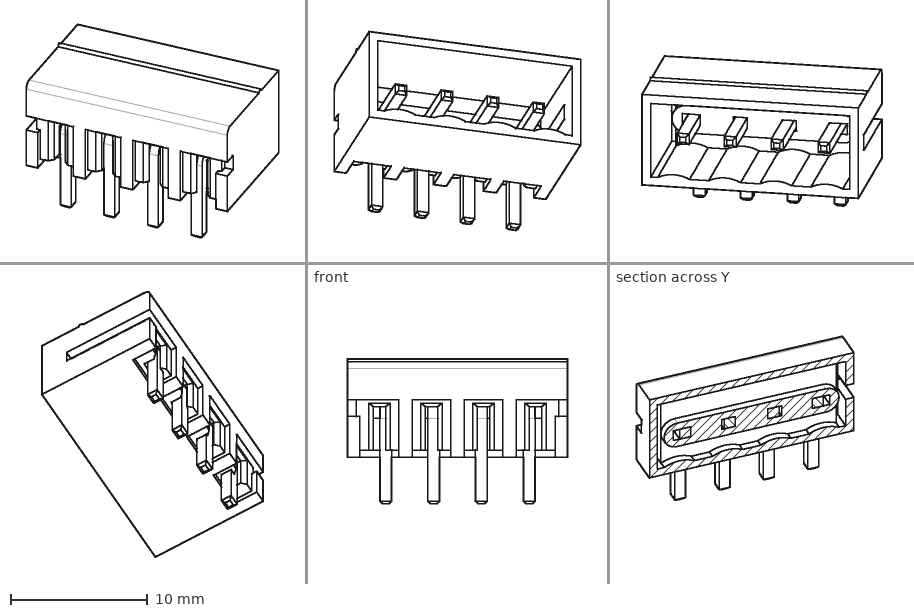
import cadquery as cq
import math


LENGTH = 16.11
DEPTH = 9.2
HEIGHT = 7.0
FRONT_EDGE_RADIUS = 0.5
RIDGE_RADIUS = 0.2
RIDGE_Y = 5.88

WALL = 0.66
CAVITY_FRONT_Y = 1.98
CORNER_FRONT_Y = 1.01
CORNER_WIDTH = 0.48
CROWN_RADIUS = 2.58
CROWN_HEIGHT = 0.29

TONGUE_RADIUS = 1.06
TONGUE_LENGTH = 1.51

POSITIONS = 4
WINDOW_PITCH = 3.8
RECESS_WIDTH = 2.82
RECESS_DEPTH = 0.43
UNDERCUT_HEIGHT = 0.53
WINDOW_WIDTH = 0.89
WINDOW_TOP = 3.7
FUNNEL_DEPTH = 0.34
FUNNEL_TOP_RISE = 0.27
LEG_WIDTH = 0.92

SLOT_BOTTOM = 3.01
SLOT_TOP = 4.2
SLOT_BACK_Y = 7.09

PIN_PITCH = 3.5
PIN_WIDTH = 0.87
PIN_THICKNESS = 0.82
PIN_FRONT_Y = 0.79
PIN_TAIL = 3.4
PIN_BACK_Y = 8.05
PIN_TOP = 3.7
TIP_CHAMFER = 0.21

HALF = LENGTH / 2
PIN_REAR_Y = PIN_FRONT_Y + PIN_THICKNESS
PIN_UNDERSIDE = PIN_TOP - PIN_THICKNESS
PIN_AXIS_Z = PIN_TOP - PIN_THICKNESS / 2
TONGUE_WIDTH = LENGTH - 2 * (WALL + CORNER_WIDTH)
TONGUE_BACK_Y = CAVITY_FRONT_Y + TONGUE_LENGTH


def row(pitch):
    """X places of the four positions, centred on X = 0."""
    return [(i - (POSITIONS - 1) / 2) * pitch for i in range(POSITIONS)]


def block(x0, x1, y0, y1, z0, z1):
    """Box between two opposite corners."""
    return cq.Workplane("XY").box(x1 - x0, y1 - y0, z1 - z0, centered=False).translate((x0, y0, z0))


def make_shell():
    """Outer block with a rounded top front edge and a half-round ridge along the top."""
    body = block(-HALF, HALF, 0, DEPTH, 0, HEIGHT)
    body = body.edges("|X and >Z and <Y").fillet(FRONT_EDGE_RADIUS)
    ridge = (
        cq.Workplane("YZ", origin=(-HALF, RIDGE_Y, HEIGHT))
        .circle(RIDGE_RADIUS)
        .extrude(LENGTH)
    )
    return body.union(ridge)


def make_cavity():
    """Space for the plug: deeper at its two front corners, with a low crown on the floor at each window."""
    side = HALF - WALL
    cavity = block(-side, side, CAVITY_FRONT_Y, DEPTH, WALL, HEIGHT - WALL)
    corner = block(-side, CORNER_WIDTH - side, CORNER_FRONT_Y, CAVITY_FRONT_Y, WALL, HEIGHT - WALL)
    cavity = cavity.union(corner).union(corner.mirror("YZ"))
    crown_half_width = math.sqrt(CROWN_RADIUS**2 - (CROWN_RADIUS - CROWN_HEIGHT) ** 2)
    for x in row(WINDOW_PITCH):
        crown = (
            cq.Workplane("XZ", origin=(x, DEPTH, WALL))
            .moveTo(-crown_half_width, 0)
            .threePointArc((0, CROWN_HEIGHT), (crown_half_width, 0))
            .close()
            .extrude(DEPTH - CAVITY_FRONT_Y)
        )
        cavity = cavity.cut(crown)
    return cavity


def make_tongue():
    """Round-ended bar across the cavity front that carries all the pins."""
    return (
        cq.Workplane("XZ", origin=(0, TONGUE_BACK_Y, PIN_AXIS_Z))
        .slot2D(TONGUE_WIDTH, 2 * TONGUE_RADIUS)
        .extrude(TONGUE_LENGTH)
    )


def make_recess(x0, x1):
    """Shallow front recess with a deeper undercut along its foot."""
    recess = block(x0, x1, 0, RECESS_DEPTH, 0, SLOT_TOP)
    return recess.union(block(x0, x1, 0, CAVITY_FRONT_Y, 0, UNDERCUT_HEIGHT))


def make_window(x):
    """Window with a funnel mouth: it takes the upright pin leg and opens into the cavity above the leg."""
    half = WINDOW_WIDTH / 2
    leg_slot = block(x - half, x + half, RECESS_DEPTH, PIN_REAR_Y, UNDERCUT_HEIGHT, WINDOW_TOP)
    passage = block(x - half, x + half, RECESS_DEPTH, TONGUE_BACK_Y, PIN_UNDERSIDE, WINDOW_TOP)
    mouth_half = half + FUNNEL_DEPTH
    mouth_top = WINDOW_TOP + FUNNEL_TOP_RISE
    funnel = (
        cq.Workplane("XZ", origin=(x, RECESS_DEPTH, 0))
        .moveTo(-mouth_half, UNDERCUT_HEIGHT)
        .lineTo(mouth_half, UNDERCUT_HEIGHT)
        .lineTo(mouth_half, mouth_top)
        .lineTo(-mouth_half, mouth_top)
        .close()
        .workplane(offset=-FUNNEL_DEPTH)
        .moveTo(-half, UNDERCUT_HEIGHT)
        .lineTo(half, UNDERCUT_HEIGHT)
        .lineTo(half, WINDOW_TOP)
        .lineTo(-half, WINDOW_TOP)
        .close()
        .loft(ruled=True)
    )
    return leg_slot.union(passage).union(funnel)


def make_end_slot(back_y):
    """Slot in the -X end wall, open to the front above the end leg and ending at back_y."""
    slot = block(-HALF, WALL - HALF, 0, back_y, SLOT_BOTTOM, SLOT_TOP)
    foot = block(-HALF, LEG_WIDTH - HALF, 0, RECESS_DEPTH, SLOT_BOTTOM, SLOT_TOP)
    return slot.union(foot)


def make_pin(x):
    """Bent pin of rectangular section: upright leg, rounded outer bend, and a straight run to the back."""
    pin = (
        cq.Workplane("YZ", origin=(x - PIN_WIDTH / 2, 0, 0))
        .moveTo(PIN_FRONT_Y, -PIN_TAIL)
        .lineTo(PIN_REAR_Y, -PIN_TAIL)
        .lineTo(PIN_REAR_Y, PIN_UNDERSIDE)
        .lineTo(PIN_BACK_Y, PIN_UNDERSIDE)
        .lineTo(PIN_BACK_Y, PIN_TOP)
        .lineTo(PIN_REAR_Y, PIN_TOP)
        .radiusArc((PIN_FRONT_Y, PIN_UNDERSIDE), -PIN_THICKNESS)
        .close()
        .extrude(PIN_WIDTH)
    )
    return pin.faces("<Z or >Y").edges().chamfer(TIP_CHAMFER)


def make_housing(pins):
    """Housing with cavity, tongue, front recesses, windows, end slots and holes that fit the pins."""
    housing = make_shell().cut(make_cavity()).union(make_tongue())
    window_places = row(WINDOW_PITCH)
    for x in window_places:
        left = LEG_WIDTH - HALF if x == window_places[0] else x - RECESS_WIDTH / 2
        right = HALF - LEG_WIDTH if x == window_places[-1] else x + RECESS_WIDTH / 2
        housing = housing.cut(make_recess(left, right)).cut(make_window(x))
    housing = housing.cut(make_end_slot(SLOT_BACK_Y))
    housing = housing.cut(make_end_slot(CORNER_FRONT_Y).mirror("YZ"))
    for pin in pins:
        housing = housing.cut(pin)
    return housing


pins = [make_pin(x) for x in row(PIN_PITCH)]
housing = make_housing(pins)
result = cq.Compound.makeCompound([housing.val(), *[pin.val() for pin in pins]])